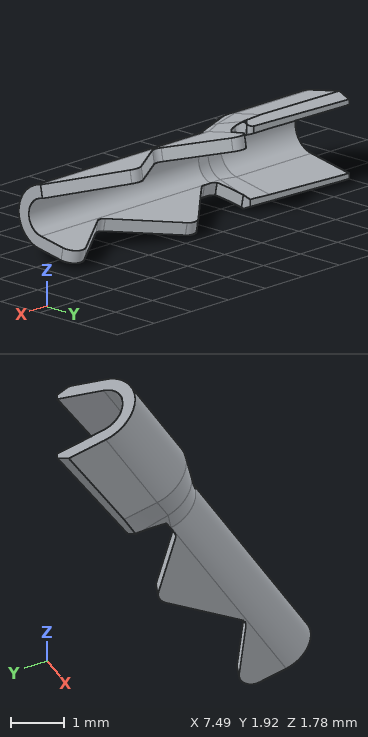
import cadquery as cq
import math

length = 7.49
sleeve_end = 2.03
lip_end = 2.53
tail_start = 2.905

wall = 0.26
sleeve_radius = 0.76
tail_radius = 0.64
tail_bottom = 0.27
flank_angle = 10.5
neck_radius = 0.69
neck_angle = 16.0
neck_bottom = tail_bottom * (lip_end - sleeve_end) / (tail_start - sleeve_end)
flank_length = 1.65

lip_height = 1.65
lip_slope = 0.11 / sleeve_end
lip_half_width = 0.78
chamfer_drop = 0.255
chamfer_half_width = 0.89
lip_round = 0.09

crest_radius = 0.26
valley_radius = 0.17
crest_height = 1.14
valley_height = 0.015
notch_height = 0.5
first_valley_x = 4.41
second_valley_x = 5.94
end_tooth_height = 1.07
end_valley_height = 0.045
end_tooth_shoulder = 0.375
lower_notch_height = 0.525
lower_notch_start = 2.735
lower_notch_end = 3.15
corner_tolerance = 0.004
first_apex_height = 1.44
clearance = 2.25


def u_section(x, radius, bottom, angle):
    """U-shaped wall outline at station x, opening toward +Y."""
    sine = math.sin(math.radians(angle))
    cosine = math.cos(math.radians(angle))
    center = bottom + radius

    def flank_point(r, along, side):
        return (center - r * sine + along * cosine, side * (r * cosine + along * sine))

    inner = radius - wall
    return (
        cq.Workplane("YZ", origin=(x, 0, 0))
        .moveTo(*flank_point(radius, flank_length, -1))
        .lineTo(*flank_point(radius, 0, -1))
        .threePointArc((bottom, 0), flank_point(radius, 0, 1))
        .lineTo(*flank_point(radius, flank_length, 1))
        .lineTo(*flank_point(inner, flank_length, 1))
        .lineTo(*flank_point(inner, 0, 1))
        .threePointArc((bottom + wall, 0), flank_point(inner, 0, -1))
        .lineTo(*flank_point(inner, flank_length, -1))
        .close()
        .wire()
        .val()
    )


def lip_cutter(side):
    """Material removed above the sloping lip and outside its chamfer, on one flank."""
    wires = []
    for x in (0, lip_end):
        lip = lip_height - lip_slope * x
        run = (chamfer_half_width - lip_half_width) / chamfer_drop
        outer = lip_half_width + 2 * chamfer_drop * run
        points = [
            (lip + clearance, 0),
            (lip, 0),
            (lip, side * lip_half_width),
            (lip - 2 * chamfer_drop, side * outer),
            (lip - 2 * chamfer_drop, side * clearance),
            (lip + clearance, side * clearance),
        ]
        wires.append(cq.Workplane("YZ", origin=(x, 0, 0)).polyline(points).close().wire().val())
    return cq.Solid.makeLoft(wires, True)


def tooth_cutter(crests, valleys, profile):
    """Material above a tooth profile, cut square to the +Z tail flank."""
    corners = [(lip_end, clearance), *profile, (length + wall, clearance)]
    points = [cq.Vector(x, height, 0) for x, height in corners]
    wire = cq.Wire.makePolygon(points, close=True)

    def vertices_at(chosen):
        return [
            v for v in wire.Vertices()
            if any(math.dist((v.X, v.Y), corner) < corner_tolerance for corner in chosen)
        ]

    wire = wire.fillet2D(crest_radius, vertices_at(crests))
    wire = wire.fillet2D(valley_radius, vertices_at(valleys))
    angle = math.radians(flank_angle)
    flank_plane = cq.Plane(
        origin=(0, tail_bottom + tail_radius, 0),
        xDir=(1, 0, 0),
        normal=(0, -math.sin(angle), math.cos(angle)),
    )
    depth = 2 * tail_radius
    return cq.Workplane(flank_plane).add(wire.moved(cq.Location(flank_plane))).toPending().extrude(depth)


sections = [
    u_section(0, sleeve_radius, 0, flank_angle),
    u_section(sleeve_end, sleeve_radius, 0, flank_angle),
    u_section(lip_end, neck_radius, neck_bottom, neck_angle),
    u_section(tail_start, tail_radius, tail_bottom, flank_angle),
    u_section(length, tail_radius, tail_bottom, flank_angle),
]
body = cq.Workplane(cq.Solid.makeLoft(sections, True))

for flank_side in (1, -1):
    body = body.cut(cq.Workplane(lip_cutter(flank_side)))

notch = [(lip_end, notch_height), (tail_start, notch_height)]
upper_crests = [(tail_start, first_apex_height), (second_valley_x, crest_height)]
upper_valley = (first_valley_x, valley_height)
upper_profile = [
    *notch, upper_crests[0], upper_valley, upper_crests[1], (length, end_valley_height),
    (length + wall, end_valley_height),
]
body = body.cut(tooth_cutter(upper_crests, [*notch, upper_valley], upper_profile))

lower_crests = [(first_valley_x, crest_height), (length, end_tooth_height)]
lower_valleys = [
    (x, valley_height) for x in (lower_notch_start, lower_notch_end, second_valley_x)
]
lower_profile = [
    (lip_end, lower_notch_height), lower_valleys[0], lower_valleys[1],
    lower_crests[0], lower_valleys[2], lower_crests[1],
    (length, end_tooth_shoulder), (length + wall, end_tooth_shoulder),
]
lower_cutter = tooth_cutter(lower_crests, lower_valleys[1:], lower_profile)
body = body.cut(lower_cutter.mirror("XY"))

lip_end_height = lip_height - lip_slope * lip_end
lip_rounding = (
    cq.Workplane("XY")
    .moveTo(lip_end - lip_round, lip_end_height)
    .radiusArc((lip_end, lip_end_height - lip_round), lip_round)
    .lineTo(lip_end + lip_round, lip_end_height - lip_round)
    .lineTo(lip_end + lip_round, lip_end_height + lip_round)
    .lineTo(lip_end - lip_round, lip_end_height + lip_round)
    .close()
    .extrude(clearance)
)
body = body.cut(lip_rounding)

result = body